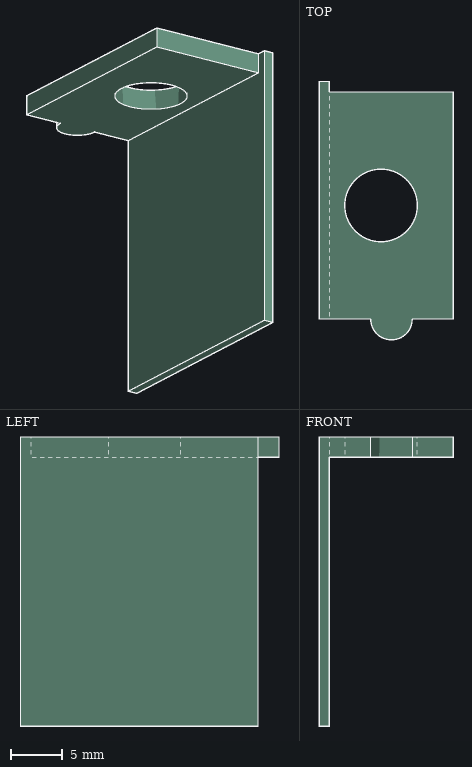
import cadquery as cq

width = 13.0
height = 28.0
wall_length = 23.0

wall_thickness = 1.0
plate_thickness = 2.0
plate_setback = 1.0
plate_length = wall_length - plate_setback

hole_diameter = 7.0
hole_x = 6.0
hole_y = plate_length / 2

tab_radius = 2.02
tab_x = 7.0

plate_bottom = height - plate_thickness


def make_wall():
    return cq.Workplane("XY").box(
        wall_thickness, wall_length, height, centered=False
    )


def make_plate():
    return cq.Workplane("XY", origin=(0, 0, plate_bottom)).box(
        width, plate_length, plate_thickness, centered=False
    )


def make_tab():
    return (
        cq.Workplane("XY", origin=(tab_x, 0, plate_bottom))
        .circle(tab_radius)
        .extrude(plate_thickness)
    )


def make_hole():
    return (
        cq.Workplane("XY", origin=(hole_x, hole_y, plate_bottom))
        .circle(hole_diameter / 2)
        .extrude(plate_thickness)
    )


result = make_wall().union(make_plate()).union(make_tab()).cut(make_hole())